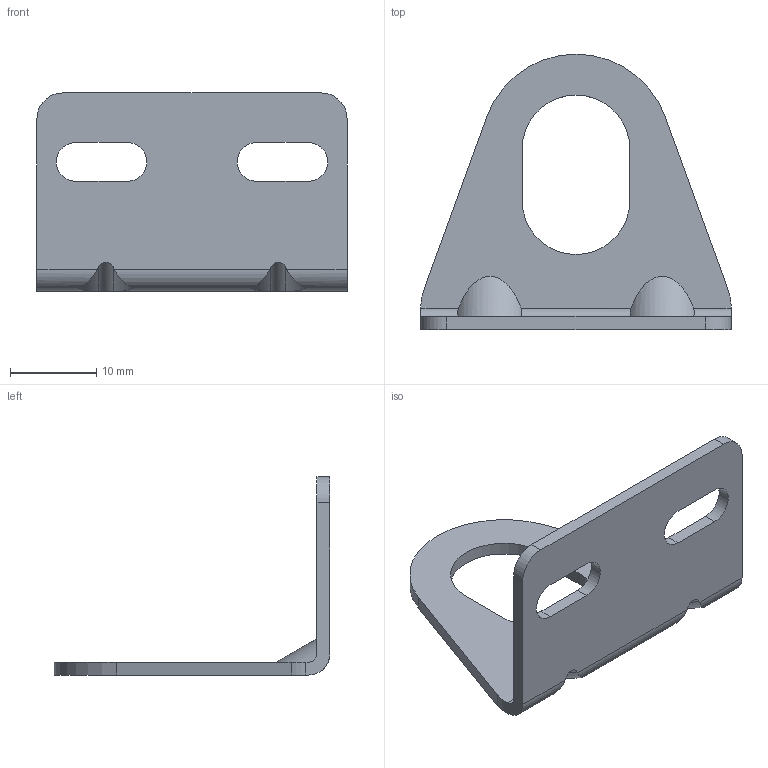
import math

import cadquery as cq

width = 36.0
depth = 32.0
height = 23.0
thickness = 1.5
bend_inner_radius = 1.0
bend_outer_radius = bend_inner_radius + thickness

upright_corner_radius = 3.0
mount_slot_length = 10.5
mount_slot_width = 4.5
mount_slot_spacing = 21.0
mount_slot_height = 15.0

nose_radius = 11.0
shoulder_radius = 5.0
shoulder_start = 2.8
base_slot_length = 18.5
base_slot_width = 12.5
base_slot_center = 18.0

rib_spacing = 20.0
rib_slope = math.radians(30)
rib_outer_radius = 4.5
rib_foot = 6.2
groove_radius = 1.0
groove_fillet_radius = 2.5
rib_sweep_half_length = 15.0

rib_crest = rib_foot * math.sin(rib_slope) + thickness * math.cos(rib_slope)


def bent_sheet():
    """L-shaped section, bent with concentric inner and outer radii, extruded along X."""
    return (
        cq.Workplane("YZ")
        .moveTo(0, height)
        .lineTo(0, bend_outer_radius)
        .radiusArc((bend_outer_radius, 0), -bend_outer_radius)
        .lineTo(depth, 0)
        .lineTo(depth, thickness)
        .lineTo(bend_outer_radius, thickness)
        .radiusArc((thickness, bend_outer_radius), bend_inner_radius)
        .lineTo(thickness, height)
        .close()
        .extrude(width / 2, both=True)
    )


def upright_outline():
    """Front silhouette: a rectangle with rounded upper corners, running the full depth."""
    return (
        cq.Workplane("XY")
        .box(width, depth, height, centered=(True, False, False))
        .edges("|Y and >Z")
        .fillet(upright_corner_radius)
    )


def base_outline():
    """Plan silhouette: straight front, rounded shoulders and tapered sides tangent to a round nose."""
    half_width = width / 2
    nose_center_y = depth - nose_radius
    shoulder_center_x = half_width - shoulder_radius

    center_drop = nose_center_y - shoulder_start
    center_distance = math.hypot(shoulder_center_x, center_drop)
    tangent_angle = math.acos((nose_radius - shoulder_radius) / center_distance)
    taper = tangent_angle - math.atan2(center_drop, shoulder_center_x)
    normal_x = math.cos(taper)
    normal_y = math.sin(taper)

    shoulder_end_x = shoulder_center_x + shoulder_radius * normal_x
    shoulder_end_y = shoulder_start + shoulder_radius * normal_y
    nose_end_x = nose_radius * normal_x
    nose_end_y = nose_center_y + nose_radius * normal_y

    return (
        cq.Workplane("XY")
        .moveTo(-half_width, 0)
        .lineTo(half_width, 0)
        .lineTo(half_width, shoulder_start)
        .radiusArc((shoulder_end_x, shoulder_end_y), -shoulder_radius)
        .lineTo(nose_end_x, nose_end_y)
        .threePointArc((0, depth), (-nose_end_x, nose_end_y))
        .lineTo(-shoulder_end_x, shoulder_end_y)
        .radiusArc((-half_width, shoulder_start), -shoulder_radius)
        .close()
        .extrude(height)
    )


def mount_slots():
    """Pair of horizontal slots through the upright plate."""
    return (
        cq.Workplane("XZ")
        .pushPoints([(side * mount_slot_spacing / 2, mount_slot_height) for side in (-1, 1)])
        .slot2D(mount_slot_length, mount_slot_width)
        .extrude(-thickness)
    )


def base_slot():
    """Large slot through the base plate, its far end concentric with the nose."""
    return (
        cq.Workplane("XY")
        .center(0, base_slot_center)
        .slot2D(base_slot_length, base_slot_width, 90)
        .extrude(thickness)
    )


def rib_section_plane(x):
    """Plane square to the rib slope through the front lower edge; local Y points up out of the rib."""
    slope_direction = (0, math.cos(rib_slope), -math.sin(rib_slope))
    return cq.Workplane(cq.Plane(origin=(x, 0, 0), xDir=(-1, 0, 0), normal=slope_direction))


def rib(x):
    """Sloping cylindrical rib, kept only on the inner side of the sheet's mid-surface."""
    inner_corner = (
        cq.Workplane("XY")
        .box(width, depth, height, centered=(True, False, False))
        .translate((0, thickness / 2, thickness / 2))
    )
    cylinder = (
        rib_section_plane(x)
        .center(0, rib_crest - rib_outer_radius)
        .circle(rib_outer_radius)
        .extrude(rib_sweep_half_length, both=True)
    )
    return cylinder.intersect(inner_corner)


def groove(x):
    """Hollow under a rib: a round crest blending through convex fillets into the outside of the bend."""
    crest = rib_crest - thickness
    crest_center = crest - groove_radius

    bend_axis = bend_outer_radius * (math.sin(rib_slope) + math.cos(rib_slope))
    mouth = bend_axis - bend_outer_radius
    fillet_center_y = mouth + groove_fillet_radius
    center_distance = groove_radius + groove_fillet_radius
    fillet_rise = fillet_center_y - crest_center
    fillet_center_x = math.sqrt(center_distance**2 - fillet_rise**2)

    blend_x = fillet_center_x * groove_radius / center_distance
    blend_y = crest_center + fillet_rise * groove_radius / center_distance
    bottom = mouth - thickness

    return (
        rib_section_plane(x)
        .moveTo(-fillet_center_x, bottom)
        .lineTo(-fillet_center_x, mouth)
        .radiusArc((-blend_x, blend_y), -groove_fillet_radius)
        .threePointArc((0, crest), (blend_x, blend_y))
        .radiusArc((fillet_center_x, mouth), -groove_fillet_radius)
        .lineTo(fillet_center_x, bottom)
        .close()
        .extrude(rib_sweep_half_length, both=True)
    )


bracket = bent_sheet().intersect(upright_outline()).intersect(base_outline())
bracket = bracket.cut(mount_slots()).cut(base_slot())
for rib_x in (-rib_spacing / 2, rib_spacing / 2):
    bracket = bracket.union(rib(rib_x)).cut(groove(rib_x))

result = bracket